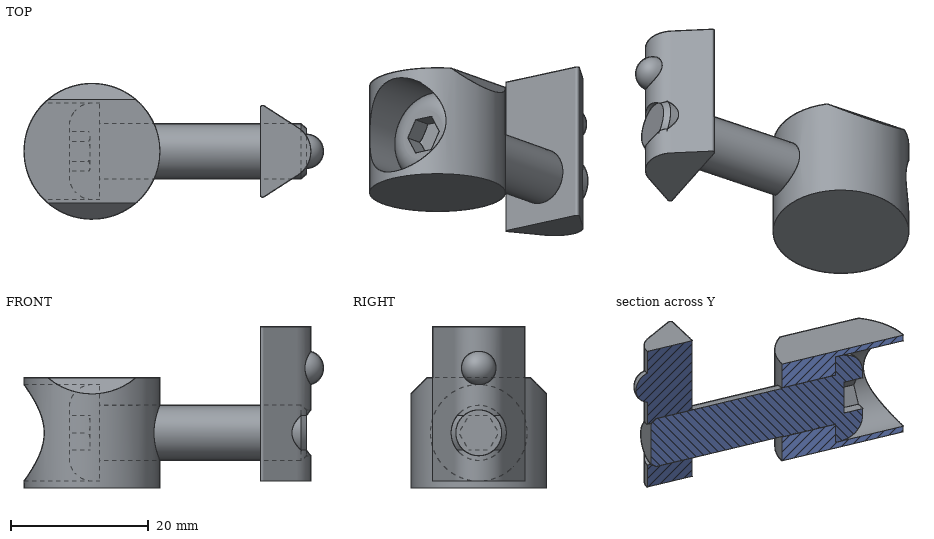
import cadquery as cq
import math


housing_diameter = 19.7
housing_height = 16.0
bolt_axis_z = housing_height / 2
head_bore_diameter = 14.0
side_chamfer = 2.35

shank_diameter = 8.0
bolt_length = 30.0
bolt_end_x = 31.12
bolt_seat_x = bolt_end_x - bolt_length
tip_diameter = 6.65
tip_chamfer_length = 0.8
head_height = 4.4
head_flat_diameter = 7.33
hex_across_flats = 5.0
hex_depth = 3.0
hex_envelope_diameter = 5.9
hex_bottom_fillet = 0.5

nut_back_x = 24.4
nut_thickness = 7.33
nut_half_width = 6.67
nut_nose_radius = 4.1
nut_corner_radius = 0.35
nut_top_z = 23.4
nut_height = 22.4
nut_bottom_z = nut_top_z - nut_height

pin_diameter = 5.0
total_length = 43.43
pin_tip_x = total_length - housing_diameter / 2
pin_z = nut_top_z - 6.0


def x_cylinder(diameter, start_x, end_x, axis_z):
    """Cylinder along X between two X positions."""
    return (
        cq.Workplane("YZ", origin=(start_x, 0, axis_z))
        .circle(diameter / 2)
        .extrude(end_x - start_x)
    )


def make_housing():
    """Upright cylinder with two flat top chamfers and a stepped bore along X."""
    radius = housing_diameter / 2
    body = cq.Workplane("XY").circle(radius).extrude(housing_height)
    trim = (
        cq.Workplane("YZ")
        .polyline([
            (-radius, 0),
            (radius, 0),
            (radius, housing_height - side_chamfer),
            (radius - side_chamfer, housing_height),
            (side_chamfer - radius, housing_height),
            (-radius, housing_height - side_chamfer),
        ])
        .close()
        .extrude(radius, both=True)
    )
    head_bore = x_cylinder(head_bore_diameter, -radius, bolt_seat_x, bolt_axis_z)
    shank_hole = x_cylinder(shank_diameter, bolt_seat_x, radius, bolt_axis_z)
    return body.intersect(trim).cut(head_bore).cut(shank_hole)


def make_hex_socket():
    """Hexagonal recess whose corners are rounded into the flat bottom."""
    head_top_x = bolt_seat_x - head_height
    across_corners = hex_across_flats / math.cos(math.pi / 6)
    hexagon = (
        cq.Workplane("YZ", origin=(head_top_x, 0, bolt_axis_z))
        .polygon(6, across_corners)
        .extrude(hex_depth)
    )
    rounded_end = (
        x_cylinder(hex_envelope_diameter, head_top_x, head_top_x + hex_depth, bolt_axis_z)
        .faces(">X")
        .fillet(hex_bottom_fillet)
    )
    return hexagon.intersect(rounded_end)


def make_bolt():
    """Button head bolt, turned around its axis along X."""
    head_radius = head_bore_diameter / 2
    flat_radius = head_flat_diameter / 2
    head_top_x = bolt_seat_x - head_height
    dome_radius = head_radius - flat_radius
    dome_center_x = head_top_x + dome_radius
    dome_middle = (
        dome_center_x - dome_radius * math.cos(math.pi / 4),
        flat_radius + dome_radius * math.sin(math.pi / 4),
    )
    blank = (
        cq.Workplane("XZ", origin=(0, 0, bolt_axis_z))
        .moveTo(head_top_x, 0)
        .lineTo(head_top_x, flat_radius)
        .threePointArc(dome_middle, (dome_center_x, head_radius))
        .lineTo(bolt_seat_x, head_radius)
        .lineTo(bolt_seat_x, shank_diameter / 2)
        .lineTo(bolt_end_x - tip_chamfer_length, shank_diameter / 2)
        .lineTo(bolt_end_x, tip_diameter / 2)
        .lineTo(bolt_end_x, 0)
        .close()
        .revolve(360, (0, 0, 0), (1, 0, 0))
    )
    return blank.cut(make_hex_socket())


def make_nut_bar():
    """Upright bar with a flat back, two slanted sides and a round nose."""
    nose_center_x = nut_back_x + nut_thickness - nut_nose_radius
    corner_center_x = nut_back_x + nut_corner_radius
    corner_center_y = nut_half_width - nut_corner_radius
    center_dx = nose_center_x - corner_center_x
    center_distance = math.hypot(center_dx, corner_center_y)
    center_angle = math.atan2(-corner_center_y, center_dx)
    normal_angle = center_angle + math.acos((nut_corner_radius - nut_nose_radius) / center_distance)
    normal_x = math.cos(normal_angle)
    normal_y = math.sin(normal_angle)
    nose_x = nose_center_x + nut_nose_radius * normal_x
    nose_y = nut_nose_radius * normal_y
    corner_x = corner_center_x + nut_corner_radius * normal_x
    corner_y = corner_center_y + nut_corner_radius * normal_y
    middle_angle = (normal_angle + math.pi) / 2
    middle_x = corner_center_x + nut_corner_radius * math.cos(middle_angle)
    middle_y = corner_center_y + nut_corner_radius * math.sin(middle_angle)
    return (
        cq.Workplane("XY", origin=(0, 0, nut_bottom_z))
        .moveTo(nut_back_x, -corner_center_y)
        .lineTo(nut_back_x, corner_center_y)
        .threePointArc((middle_x, middle_y), (corner_x, corner_y))
        .lineTo(nose_x, nose_y)
        .threePointArc((nut_back_x + nut_thickness, 0), (nose_x, -nose_y))
        .lineTo(corner_x, -corner_y)
        .threePointArc((middle_x, -middle_y), (nut_back_x, -corner_center_y))
        .close()
        .extrude(nut_height)
    )


def make_slot_nut(bolt):
    """Nut bar with the spring pin and a hole that fits the bolt end."""
    pin_radius = pin_diameter / 2
    pin_center_x = pin_tip_x - pin_radius
    pin_shaft = x_cylinder(pin_diameter, pin_center_x - pin_radius, pin_center_x, pin_z)
    pin_tip = cq.Workplane("XY", origin=(pin_center_x, 0, pin_z)).sphere(pin_radius)
    nose_hole = x_cylinder(tip_diameter, nut_back_x, nut_back_x + nut_thickness, bolt_axis_z)
    return make_nut_bar().union(pin_shaft).union(pin_tip).cut(nose_hole).cut(bolt)


housing = make_housing()
bolt = make_bolt()
slot_nut = make_slot_nut(bolt)

result = cq.Compound.makeCompound([
    housing.solids().val(),
    bolt.solids().val(),
    slot_nut.solids().val(),
])